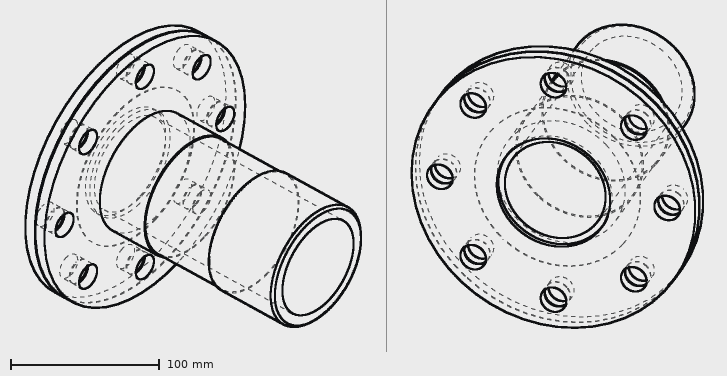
import cadquery as cq

total_length = 175.0
flange_diameter = 200.0
flange_thickness = 17.5

groove_floor_diameter = 117.0
groove_start = 8.5
groove_width = 0.8

tube_diameter = 90.0
waist_diameter = 88.2
waist_length = total_length / 3
waist_start = waist_length
end_chamfer = 2.0

bore_diameter = 71.0
recess_diameter = 80.0
recess_depth = 4.0

bolt_hole_count = 8
bolt_hole_diameter = 18.0
bolt_circle_diameter = 160.0


def cylinder(diameter, start, length):
    """Solid cylinder on the X axis, running in +X from start."""
    return cq.Workplane("YZ", origin=(start, 0, 0)).circle(diameter / 2).extrude(length)


def ring(outer_diameter, inner_diameter, start, length):
    """Ring around the X axis, used to cut shallow outside grooves."""
    return cylinder(outer_diameter, start, length).cut(cylinder(inner_diameter, start, length))


def make_tube():
    tube = cylinder(tube_diameter, 0, total_length).faces(">X").edges().chamfer(end_chamfer)
    return tube.cut(ring(tube_diameter, waist_diameter, waist_start, waist_length))


def make_flange():
    flange = cylinder(flange_diameter, 0, flange_thickness)
    return flange.cut(ring(flange_diameter, groove_floor_diameter, groove_start, groove_width))


def make_bolt_holes():
    return (
        cq.Workplane("YZ")
        .polarArray(bolt_circle_diameter / 2, 0, 360, bolt_hole_count)
        .circle(bolt_hole_diameter / 2)
        .extrude(flange_thickness)
    )


result = (
    make_flange()
    .union(make_tube())
    .cut(make_bolt_holes())
    .cut(cylinder(bore_diameter, 0, total_length))
    .cut(cylinder(recess_diameter, 0, recess_depth))
)